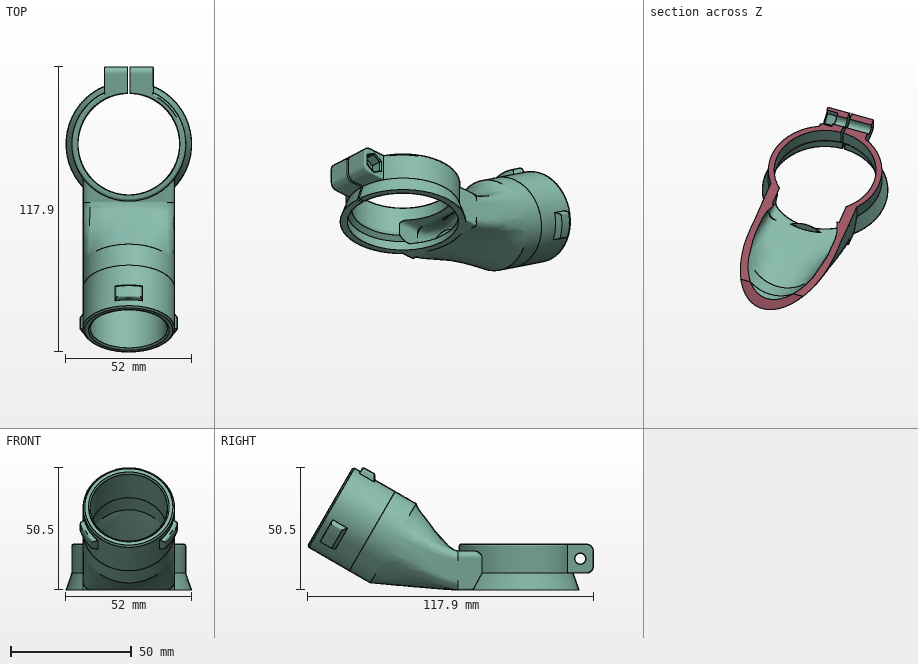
import cadquery as cq
import math

ring_height = 19.0
skirt_height = 7.0
collar_radius = 23.6
skirt_diameter = 52.0
skirt_radius = skirt_diameter / 2
bore_radius = 21.0
skirt_bore_radius = 23.0
bore_bottom_z = 7.2
lead_in_radius = 21.2
lead_in_bottom_z = 6.0
skirt_bore_top_z = 4.0
ring_top_fillet = 1.0

lug_width = 20.3
lug_reach = 32.0
lug_height = ring_height - skirt_height
lug_end_fillet = 3.0
lug_side_fillet = 0.6
slit_width = 1.0
screw_diameter = 4.5
screw_y = lug_reach - 5.4
screw_z = skirt_height + lug_height / 2
nut_flats = 7.3
nut_corners = nut_flats / math.cos(math.radians(30))
nut_pocket_depth = 5.0
nut_mouth_depth = 0.6
nut_mouth_flats = 8.5
nut_mouth_corners = 9.2

tube_diameter = 37.8
tube_bore = 32.0
tube_radius = tube_diameter / 2
tube_bore_radius = tube_bore / 2
wall = tube_radius - tube_bore_radius
tube_tilt = 30
stub_length = 10.0
socket_length = 20.0
tube_start = (0, -50.8, 19.3)
tube_plane = cq.Plane(
    origin=tube_start,
    xDir=(1, 0, 0),
    normal=(0, -math.cos(math.radians(tube_tilt)), math.sin(math.radians(tube_tilt))),
)
socket_end = stub_length + socket_length
socket_rim_chamfer = 0.7

neck_y = -24.0
neck_inner_y = -11.8
neck_height = 16.1
neck_top_fillet = 3.0
neck_bottom_fillet = 0.7

duct_corner_width = 3.0
duct_corner_height = 4.0
passage_corner_radius = 2.4
duct_straight_lead = 4.7
duct_steps = 6
straightness_tolerance = 1.39e-06

tab_count = 3
tab_outer_radius = 21.0
tab_front_gap = 3.5
tab_top_length = 5.5
tab_foot_length = 7.1
tab_root_width = 11.7
tab_top_width = 10.0
tab_fillet = 0.7


def ring_blank():
    """Solid collar on its flared skirt, rounded at the top."""
    profile = [
        (0, 0),
        (skirt_radius, 0),
        (collar_radius, skirt_height),
        (collar_radius, ring_height),
        (0, ring_height),
    ]
    blank = cq.Workplane("XZ").polyline(profile).close().revolve(360, (0, 0), (0, 1))
    return blank.faces(">Z").edges().fillet(ring_top_fillet)


def ring_bore():
    """Clamp bore that widens through a slight lead-in and a cone to the bore of the skirt."""
    profile = [
        (0, 0),
        (skirt_bore_radius, 0),
        (skirt_bore_radius, skirt_bore_top_z),
        (lead_in_radius, lead_in_bottom_z),
        (bore_radius, bore_bottom_z),
        (bore_radius, ring_height),
        (0, ring_height),
    ]
    return cq.Workplane("XZ").polyline(profile).close().revolve(360, (0, 0), (0, 1))


def lug_blank():
    """Rounded clamp lug that reaches out from the collar towards +Y."""
    lug = cq.Workplane("XY").workplane(offset=skirt_height)
    lug = lug.center(0, lug_reach / 2).rect(lug_width, lug_reach).extrude(lug_height)
    lug = lug.faces(">Y").edges("|X").fillet(lug_end_fillet)
    return lug.faces("<X or >X").edges("not <Y").fillet(lug_side_fillet)


def hexagon(plane, flats, corners):
    """Wire of a nut outline with flats facing Y and corners facing Z."""
    side = corners / 4
    points = [
        (flats / 2, side),
        (0, corners / 2),
        (-flats / 2, side),
        (-flats / 2, -side),
        (0, -corners / 2),
        (flats / 2, -side),
    ]
    return cq.Workplane(plane).polyline(points).close().val()


def screw_cut():
    """Slit, screw hole and nut pocket of the clamp."""
    slit = cq.Workplane("XY").center(0, lug_reach / 2).rect(slit_width, lug_reach).extrude(ring_height)
    hole = cq.Workplane("YZ").center(screw_y, screw_z).circle(screw_diameter / 2)
    hole = hole.extrude(lug_width / 2, both=True)
    mouth_x = -lug_width / 2
    throat_x = mouth_x + nut_mouth_depth
    mouth_plane = cq.Plane(origin=(mouth_x, screw_y, screw_z), xDir=(0, 1, 0), normal=(1, 0, 0))
    throat_plane = cq.Plane(origin=(throat_x, screw_y, screw_z), xDir=(0, 1, 0), normal=(1, 0, 0))
    mouth_wire = hexagon(mouth_plane, nut_mouth_flats, nut_mouth_corners)
    throat_wire = hexagon(throat_plane, nut_flats, nut_corners)
    mouth = cq.Solid.makeLoft([mouth_wire, throat_wire], True)
    pocket = cq.Workplane(throat_plane).add(throat_wire).toPending()
    pocket = pocket.extrude(nut_pocket_depth - nut_mouth_depth)
    return slit.union(hole).union(pocket).union(cq.Workplane(mouth))


def neck_block():
    """Rounded block that joins the duct to the ring."""
    length = neck_inner_y - neck_y
    block = cq.Workplane("XY").center(0, neck_y + length / 2)
    block = block.rect(tube_diameter, length).extrude(neck_height)
    block = block.edges("|Y and >Z").fillet(neck_top_fillet)
    return block.edges("|Y and <Z").fillet(neck_bottom_fillet)


def neck_outline(inset):
    """Ends and middles of the lines and corner arcs around the neck end of the duct, in (x, z)."""
    half_width = tube_radius - inset
    half_height = neck_height / 2 - inset
    middle_z = neck_height / 2
    points = []
    for sx, sz in [(1, 1), (-1, 1), (-1, -1), (1, -1)]:
        centre = (sx * (half_width - duct_corner_width), sz * (half_height - duct_corner_height))
        flat_end = (centre[0], sz * half_height)
        side_end = (sx * half_width, centre[1])
        corner_x = centre[0] + sx * duct_corner_width * math.sqrt(0.5)
        corner_z = centre[1] + sz * duct_corner_height * math.sqrt(0.5)
        corner = (corner_x, corner_z)
        flat_middle = (0, sz * half_height)
        side_middle = (sx * half_width, 0)
        if sx == sz:
            points += [side_end, corner, flat_end, flat_middle]
        else:
            points += [flat_end, corner, side_end, side_middle]
    return [(x, middle_z + z) for x, z in points]


def duct_section(share, inset):
    """Closed wire of the duct at a share of its way from the neck (0) to the tube (1).

    Each outline point leaves the neck along -Y and follows a quadratic curve to the tube.
    """
    points = []
    for x, z in neck_outline(inset):
        start = cq.Vector(x, neck_y, z)
        lead = start - cq.Vector(0, duct_straight_lead, 0)
        angle = math.atan2(z - neck_height / 2, x)
        radius = tube_radius - inset
        end = tube_plane.toWorldCoords((radius * math.cos(angle), radius * math.sin(angle)))
        points.append(start * (1 - share) ** 2 + lead * (2 * share * (1 - share)) + end * share**2)
    points.append(points[0])
    edges = []
    for first, middle, last in zip(points[0:-2:2], points[1:-1:2], points[2::2]):
        bend = (middle - first).cross(last - middle).Length
        if bend < straightness_tolerance:
            edges.append(cq.Edge.makeLine(first, last))
        else:
            edges.append(cq.Edge.makeThreePointArc(first, middle, last))
    return cq.Wire.assembleEdges(edges)


def duct(inset):
    """Loft from the rectangular neck to the round tube, shrunk by an inset."""
    sections = [duct_section(step / duct_steps, inset) for step in range(duct_steps + 1)]
    return cq.Workplane(cq.Solid.makeLoft(sections))


def neck_passage():
    """Air passage from the duct through the neck into the ring."""
    inner_height = neck_height - 2 * wall
    passage = cq.Workplane("XZ", origin=(0, 0, neck_height / 2)).rect(tube_bore, inner_height)
    return passage.extrude(-neck_y).edges("|Y").fillet(passage_corner_radius)


def tube(start, length):
    """Straight piece of the tilted tube."""
    piece = cq.Workplane(tube_plane).workplane(offset=start)
    return piece.circle(tube_radius).circle(tube_bore_radius).extrude(length)


def build_shoe():
    """Clamp ring, neck, duct and the first piece of the tube."""
    shoe = ring_blank().union(lug_blank()).union(neck_block())
    shoe = shoe.cut(ring_bore()).cut(neck_passage()).cut(screw_cut())
    shoe = shoe.union(duct(0).cut(duct(wall)))
    return shoe.union(tube(0, stub_length))


def tab():
    """Tab with a sloped back, flared sides and rounded outer edges, for a tube along Z."""
    root_radius = tube_radius - wall / 2
    front = socket_end - tab_front_gap
    slope = (tab_foot_length - tab_top_length) / (tab_outer_radius - tube_radius)
    root_length = tab_foot_length + slope * (tube_radius - root_radius)
    profile = [
        (root_radius, front),
        (tab_outer_radius, front),
        (tab_outer_radius, front - tab_top_length),
        (root_radius, front - root_length),
    ]
    band = cq.Workplane("YZ").polyline(profile).close().revolve(360, (0, 0), (0, 1))
    sides = [
        (-tab_root_width / 2, 0),
        (tab_root_width / 2, 0),
        (tab_root_width / 2, root_radius),
        (tab_top_width / 2, tab_outer_radius),
        (-tab_top_width / 2, tab_outer_radius),
        (-tab_root_width / 2, root_radius),
    ]
    wedge = cq.Workplane("XY").polyline(sides).close().extrude(socket_end)
    blank = band.intersect(wedge)
    back_edge_z = front - tab_top_length
    above_flanks = (-tab_root_width, tab_outer_radius - tab_fillet, back_edge_z + tab_fillet)
    beyond_front = (tab_root_width, tab_outer_radius + tab_fillet, front + tab_fillet)
    top_edges = cq.selectors.BoxSelector(above_flanks, beyond_front)
    return blank.edges(top_edges).fillet(tab_fillet)


def build_socket():
    """Outer piece of the tube with chamfered rim and bayonet tabs."""
    socket = tube(stub_length, socket_length)
    socket = socket.faces(cq.selectors.DirectionMinMaxSelector(tube_plane.zDir)).chamfer(socket_rim_chamfer)
    for index in range(tab_count):
        turned = tab().rotate((0, 0, 0), (0, 0, 1), index * 360 / tab_count)
        socket = socket.union(cq.Workplane(turned.val().moved(cq.Location(tube_plane))))
    return socket


shoe = build_shoe()
socket = build_socket()
result = cq.Compound.makeCompound([shoe.val(), socket.val()])